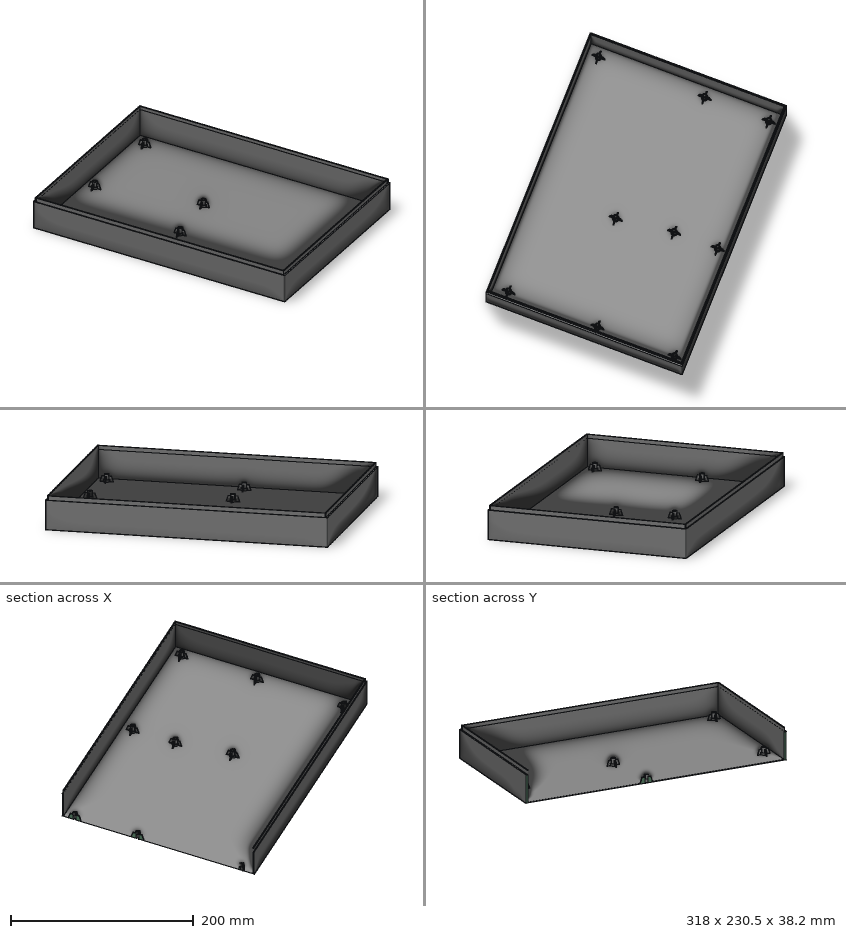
import cadquery as cq

length = 318.0
width = 230.5
height = 38.2
floor_thickness = 1.43
corner_radius = 0.5

lip_height = 4.8
lip_inset_x = 2.0
lip_inset_y = 1.0
lip_thickness = 1.1

boss_diameter = 5.0
boss_height = 8.5
collar_diameter = 7.0
collar_height = 2.5
hole_diameter = 3.0
rib_thickness = 0.8
rib_height = 6.5
rib_reach_bottom = 7.5
rib_reach_top = 5.5
standoff_centres = [
    (-140.3, 95.8),
    (144.5, 100.2),
    (-20.0, 16.2),
    (-142.5, -9.5),
    (-143.5, -100.5),
    (-11.8, -49.0),
    (-11.8, -100.2),
    (143.5, -24.8),
    (143.5, -100.2),
]

lip_length = length - 2 * lip_inset_x
lip_width = width - 2 * lip_inset_y
cavity_length = lip_length - 2 * lip_thickness
cavity_width = lip_width - 2 * lip_thickness


def block(size_x, size_y, bottom, top):
    """Centred rectangular block between two heights."""
    return cq.Workplane("XY").workplane(offset=bottom).rect(size_x, size_y).extrude(top - bottom)


def cylinder(diameter, top):
    """Upright cylinder on the Z axis, from the tray underside to the given height."""
    return cq.Workplane("XY").circle(diameter / 2).extrude(top)


def make_tray():
    """Open box with slightly rounded corners, whose lip steps in from the outer walls."""
    body = block(length, width, 0, height - lip_height).edges("|Z").fillet(corner_radius)
    lip = block(lip_length, lip_width, 0, height)
    cavity = block(cavity_length, cavity_width, floor_thickness, height)
    return body.union(lip).cut(cavity)


def make_rib():
    """Thin upright plate along X with sloping ends, rooted in the floor."""
    rib_top = floor_thickness + rib_height
    outline = [
        (-rib_reach_bottom, 0),
        (rib_reach_bottom, 0),
        (rib_reach_bottom, floor_thickness),
        (rib_reach_top, rib_top),
        (-rib_reach_top, rib_top),
        (-rib_reach_bottom, floor_thickness),
    ]
    return cq.Workplane("XZ").polyline(outline).close().extrude(rib_thickness / 2, both=True)


def make_standoff():
    """Round boss with a wider collar at its foot, braced by two crossed ribs."""
    boss = cylinder(boss_diameter, floor_thickness + boss_height)
    collar = cylinder(collar_diameter, floor_thickness + collar_height)
    rib = make_rib()
    crossed_rib = rib.rotate((0, 0, 0), (0, 0, 1), 90)
    return boss.union(collar).union(rib).union(crossed_rib)


result = make_tray()
standoff = make_standoff()
for x, y in standoff_centres:
    result = result.union(standoff.translate((x, y, 0)))

holes = cq.Workplane("XY").pushPoints(standoff_centres).circle(hole_diameter / 2).extrude(height)
result = result.cut(holes)